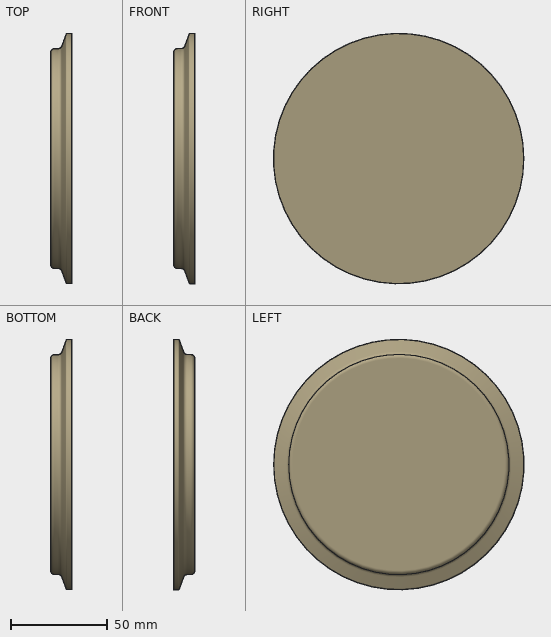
import cadquery as cq
import math

thickness = 11.0
flange_diameter = 130.0
boss_diameter = 114.3

rim_width = 2.85
cone_angle = 20.0

boss_edge_radius = 2.0
neck_radius = 2.0
rim_edge_radius = 0.8

flange_radius = flange_diameter / 2
boss_radius = boss_diameter / 2
slope = math.radians(cone_angle)
cone_outer_x = thickness - rim_width
cone_inner_x = cone_outer_x - (flange_radius - boss_radius) * math.tan(slope)

tangent_ratio = math.tan((math.pi / 2 - slope) / 2)


def point_on_cone(corner_x, corner_radius, distance):
    """Point at a signed distance outward along the cone from a sharp corner."""
    return (
        corner_x + distance * math.sin(slope),
        corner_radius + distance * math.cos(slope),
    )


def half_profile():
    """Half section with x along the axis and y as the radius."""
    neck_length = neck_radius * tangent_ratio
    rim_length = rim_edge_radius * tangent_ratio
    neck_end = point_on_cone(cone_inner_x, boss_radius, neck_length)
    rim_start = point_on_cone(cone_outer_x, flange_radius, -rim_length)
    return (
        cq.Workplane("XY")
        .lineTo(0, boss_radius - boss_edge_radius)
        .radiusArc((boss_edge_radius, boss_radius), boss_edge_radius)
        .lineTo(cone_inner_x - neck_length, boss_radius)
        .radiusArc(neck_end, -neck_radius)
        .lineTo(*rim_start)
        .radiusArc((cone_outer_x + rim_length, flange_radius), rim_edge_radius)
        .lineTo(thickness, flange_radius)
        .lineTo(thickness, 0)
        .close()
    )


result = half_profile().revolve(360, (0, 0, 0), (1, 0, 0))